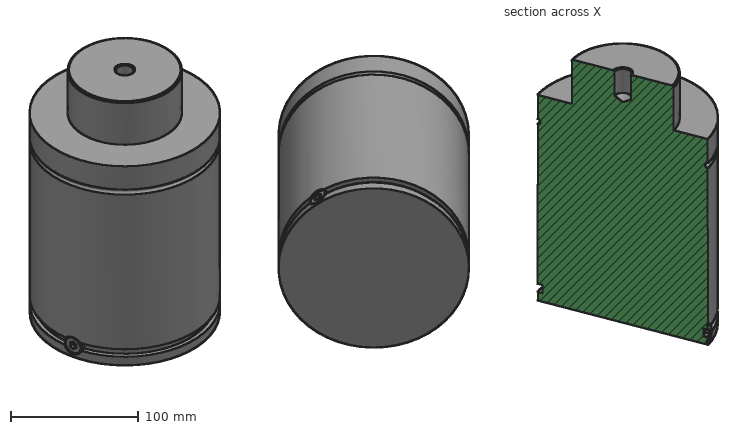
import cadquery as cq
import math

total_height = 231.0
body_radius = 150.0 / 2
body_height = 190.0
rod_radius = 90.0 / 2
rod_chamfer = 1.2

round_groove_radius = 2.3
round_groove_z = 165.5

square_groove_bottom = 8.3
square_groove_top = 15.5
square_groove_depth = 4.2

rod_hole_diameter = 14.0
rod_hole_mouth_diameter = 16.0
rod_hole_depth = 23.0
drill_tip_angle = 120.0

plug_diameter = 16.0
plug_face_diameter = 14.0
plug_z = 10.6
plug_length = 9.2
plug_recess = 0.5
socket_across_corners = 6.7
socket_depth = 3.5


def make_body():
    """Revolve the body and rod together with both ring grooves."""
    groove_floor_radius = body_radius - square_groove_depth
    profile = (
        cq.Workplane("XZ")
        .lineTo(body_radius, 0)
        .lineTo(body_radius, square_groove_bottom)
        .lineTo(groove_floor_radius, square_groove_bottom)
        .lineTo(groove_floor_radius, square_groove_top)
        .lineTo(body_radius, square_groove_top)
        .lineTo(body_radius, round_groove_z - round_groove_radius)
        .threePointArc(
            (body_radius - round_groove_radius, round_groove_z),
            (body_radius, round_groove_z + round_groove_radius),
        )
        .lineTo(body_radius, body_height)
        .lineTo(rod_radius, body_height)
        .lineTo(rod_radius, total_height - rod_chamfer)
        .lineTo(rod_radius - rod_chamfer, total_height)
        .lineTo(0, total_height)
        .close()
    )
    return profile.revolve(360, (0, 0, 0), (0, 1, 0))


def make_rod_hole():
    """Blind hole with a chamfered mouth and a conical drill tip."""
    hole_radius = rod_hole_diameter / 2
    mouth_radius = rod_hole_mouth_diameter / 2
    mouth_depth = mouth_radius - hole_radius
    tip_length = hole_radius / math.tan(math.radians(drill_tip_angle / 2))
    shoulder_z = total_height - rod_hole_depth
    profile = (
        cq.Workplane("XZ")
        .moveTo(0, total_height)
        .lineTo(mouth_radius, total_height)
        .lineTo(hole_radius, total_height - mouth_depth)
        .lineTo(hole_radius, shoulder_z)
        .lineTo(0, shoulder_z - tip_length)
        .close()
    )
    return profile.revolve(360, (0, 0, 0), (0, 1, 0))


def plug_plane(inset):
    """Workplane facing -Y, set inward from the outermost body surface."""
    return cq.Workplane("XZ", origin=(0, inset - body_radius, plug_z))


def add_plug(body):
    """Seat a chamfered plug with a hexagon socket in a bore through the body wall."""
    bore = plug_plane(plug_length).circle(plug_diameter / 2).extrude(plug_length)
    plug = (
        plug_plane(plug_length)
        .circle(plug_diameter / 2)
        .extrude(plug_length - plug_recess)
        .faces("<Y")
        .chamfer((plug_diameter - plug_face_diameter) / 2)
    )
    socket = (
        plug_plane(plug_recess)
        .transformed(rotate=(0, 0, 90))
        .polygon(6, socket_across_corners)
        .extrude(-socket_depth)
    )
    return body.cut(bore).union(plug).cut(socket)


result = add_plug(make_body().cut(make_rod_hole()))